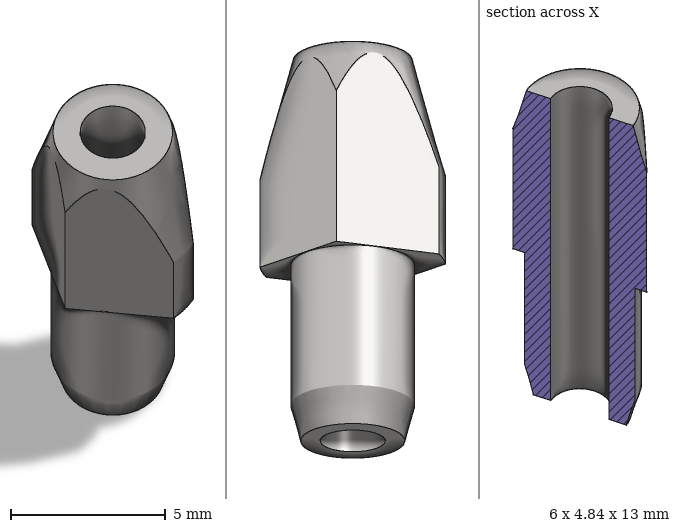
import cadquery as cq
import math

total_height = 13.0
shaft_length = 6.0
shaft_radius = 2.0
tip_length = 1.2
head_radius = 3.0
head_taper_length = 4.0
taper_angle = 15.0
head_half_depth = 2.42
flat_angle = 33.0
bore_radius = 1.05

taper_slope = math.tan(math.radians(taper_angle))
tip_radius = shaft_radius - tip_length * taper_slope
head_top_radius = head_radius - head_taper_length * taper_slope
head_taper_start = total_height - head_taper_length
head_length = total_height - shaft_length
rhombus_half_width = head_half_depth / math.tan(math.radians(flat_angle))


def make_shaft():
    """Round shaft with a tapered tip at the bottom."""
    profile = [
        (0, 0),
        (tip_radius, 0),
        (shaft_radius, tip_length),
        (shaft_radius, shaft_length),
        (0, shaft_length),
    ]
    return cq.Workplane("XZ").polyline(profile).close().revolve(360, (0, 0), (0, 1))


def make_head():
    """Rhombic head, trimmed by a cylinder that tapers towards the top."""
    rhombus_corners = [
        (rhombus_half_width, 0),
        (0, head_half_depth),
        (-rhombus_half_width, 0),
        (0, -head_half_depth),
    ]
    rhombus = (
        cq.Workplane("XY")
        .workplane(offset=shaft_length)
        .polyline(rhombus_corners)
        .close()
        .extrude(head_length)
    )
    envelope_profile = [
        (0, shaft_length),
        (head_radius, shaft_length),
        (head_radius, head_taper_start),
        (head_top_radius, total_height),
        (0, total_height),
    ]
    envelope = cq.Workplane("XZ").polyline(envelope_profile).close().revolve(360, (0, 0), (0, 1))
    return rhombus.intersect(envelope)


def make_bore():
    """Bore along the axis, through the whole part."""
    return cq.Workplane("XY").circle(bore_radius).extrude(total_height)


result = make_shaft().union(make_head()).cut(make_bore())